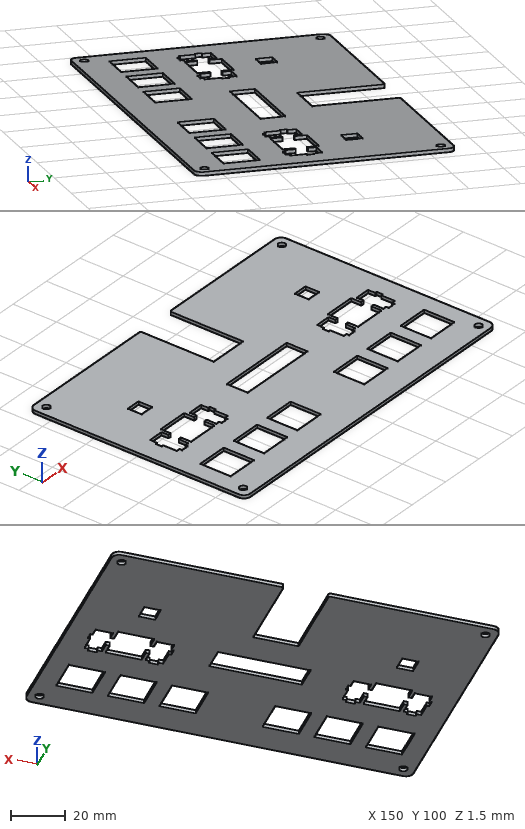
import cadquery as cq

PLATE_LENGTH = 150.0
PLATE_WIDTH = PLATE_LENGTH * 2 / 3
THICKNESS = 1.5
CORNER_RADIUS = 3.0

HOLE_DIAMETER = 3.2
HOLE_INSET = 4.5

NOTCH_CENTER_X = 0.5
NOTCH_WIDTH = 17.5
NOTCH_DEPTH = 33.9
NOTCH_CORNER_RADIUS = 0.8

KEYS_PER_SIDE = 3
OUTER_KEY_X = 60.0
KEY_PITCH = OUTER_KEY_X / KEYS_PER_SIDE
KEY_SIZE = 0.7 * KEY_PITCH
KEY_ROW_Y = -30.0

WIDE_KEY_X = PLATE_LENGTH / 3
WIDE_KEY_Y = KEY_ROW_Y + 1.3 * KEY_PITCH
STABILIZER_OFFSET = 11.8
STABILIZER_WIDTH = 6.8
STABILIZER_TOP = 5.5
STABILIZER_BOTTOM = -6.8
FOOT_WIDTH = 3.5
FOOT_DEPTH = 1.2
EAR_DEPTH = 0.9
EAR_TOP = 2.2
EAR_BOTTOM = -0.5
CHANNEL_HEIGHT = 4.6

SMALL_WINDOW_SIZE = 6.3
SMALL_WINDOW_Y = 18.0

DISPLAY_LENGTH = 35.8
DISPLAY_HEIGHT = 9.6
DISPLAY_CENTER_X = 0.3
DISPLAY_CENTER_Y = -2.0


def block(left, right, bottom, top):
    """Full-thickness block between the given X and Y limits."""
    return (
        cq.Workplane("XY")
        .box(right - left, top - bottom, THICKNESS, centered=False)
        .translate((left, bottom, 0))
    )


def window(center_x, center_y, length, height):
    """Full-thickness cutter for a rectangular window."""
    return block(
        center_x - length / 2,
        center_x + length / 2,
        center_y - height / 2,
        center_y + height / 2,
    )


def make_plate():
    """Rounded plate with the back notch and the four mounting holes."""
    back_y = PLATE_WIDTH / 2
    plate = (
        window(0, 0, PLATE_LENGTH, PLATE_WIDTH)
        .edges("|Z")
        .fillet(CORNER_RADIUS)
        .cut(window(NOTCH_CENTER_X, back_y, NOTCH_WIDTH, 2 * NOTCH_DEPTH))
    )
    for side in (-1, 1):
        mouth_corner = (NOTCH_CENTER_X + side * NOTCH_WIDTH / 2, back_y, THICKNESS / 2)
        plate = (
            plate.edges(cq.selectors.NearestToPointSelector(mouth_corner))
            .fillet(NOTCH_CORNER_RADIUS)
        )
    return (
        plate.faces(">Z")
        .workplane(origin=(0, 0, THICKNESS))
        .rect(PLATE_LENGTH - 2 * HOLE_INSET, PLATE_WIDTH - 2 * HOLE_INSET, forConstruction=True)
        .vertices()
        .hole(HOLE_DIAMETER)
    )


def wide_key_cutter():
    """Key window, two stabilizer windows with feet and outer ears, and the joining channel."""
    half_width = STABILIZER_WIDTH / 2
    half_foot = FOOT_WIDTH / 2
    foot_bottom = STABILIZER_BOTTOM - FOOT_DEPTH
    ear_reach = STABILIZER_OFFSET + half_width + EAR_DEPTH
    cutter = (
        window(0, 0, KEY_SIZE, KEY_SIZE)
        .union(window(0, 0, 2 * STABILIZER_OFFSET, CHANNEL_HEIGHT))
        .union(block(-ear_reach, ear_reach, EAR_BOTTOM, EAR_TOP))
    )
    for x in (-STABILIZER_OFFSET, STABILIZER_OFFSET):
        cutter = cutter.union(block(x - half_width, x + half_width, STABILIZER_BOTTOM, STABILIZER_TOP))
        cutter = cutter.union(block(x - half_foot, x + half_foot, foot_bottom, STABILIZER_TOP))
    return cutter


result = make_plate()

for side in (-1, 1):
    for column in range(1, KEYS_PER_SIDE + 1):
        result = result.cut(window(side * column * KEY_PITCH, KEY_ROW_Y, KEY_SIZE, KEY_SIZE))
    result = result.cut(wide_key_cutter().translate((side * WIDE_KEY_X, WIDE_KEY_Y, 0)))
    result = result.cut(
        window(side * WIDE_KEY_X, SMALL_WINDOW_Y, SMALL_WINDOW_SIZE, SMALL_WINDOW_SIZE)
    )

result = result.cut(window(DISPLAY_CENTER_X, DISPLAY_CENTER_Y, DISPLAY_LENGTH, DISPLAY_HEIGHT))